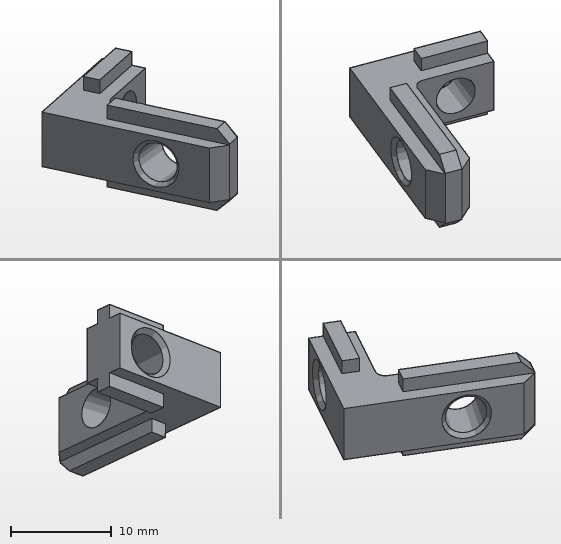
import cadquery as cq
import math

length_x = 20.0
length_y = 13.5
total_height = 9.0
body_height = 6.0
arm_width = 4.8
inner_radius = 1.0
end_chamfer = 1.5

rib_width = 1.8
rib_start_x = 6.48
rib_start_y = 6.3
rib_end_chamfer = 1.4

hole_radius = 2.1
hole_x = 12.6
hole_y = 9.38
tilted_rim_chamfer = 0.42
straight_rim_chamfer = 0.5
tilt_angle = 5.0
cut_margin = 1.0


def make_body():
    """L-shaped plate with a rounded inner corner and a bevelled long-arm end."""
    outline = (
        cq.Workplane("XY")
        .workplane(offset=-body_height / 2)
        .moveTo(0, 0)
        .lineTo(length_x - end_chamfer, 0)
        .lineTo(length_x, end_chamfer)
        .lineTo(length_x, arm_width - end_chamfer)
        .lineTo(length_x - end_chamfer, arm_width)
        .lineTo(arm_width + inner_radius, arm_width)
        .radiusArc((arm_width, arm_width + inner_radius), inner_radius)
        .lineTo(arm_width, length_y)
        .lineTo(0, length_y)
        .close()
    )
    return outline.extrude(body_height)


def make_rib(size_x, size_y, corner_x, corner_y):
    """Bar through the full height, so that it stands out above and below the body."""
    return (
        cq.Workplane("XY")
        .box(size_x, size_y, total_height, centered=(False, False, True))
        .translate((corner_x, corner_y, 0))
    )


def cut_hole(part, mouth, direction, face, chamfer):
    """Cut a through hole that starts at the mouth, then chamfer its rim on that outer face."""
    axis = cq.Vector(*direction)
    start = cq.Vector(*mouth) - axis * cut_margin
    drill = cq.Solid.makeCylinder(hole_radius, arm_width + 3 * cut_margin, start, axis)
    return part.cut(cq.Workplane(drill)).faces(face).edges("%ELLIPSE or %CIRCLE").chamfer(chamfer)


rib_offset = (arm_width - rib_width) / 2
long_rib = make_rib(length_x - rib_start_x, rib_width, rib_start_x, rib_offset)
long_rib = long_rib.faces(">X").edges("|Y").chamfer(rib_end_chamfer)
short_rib = make_rib(rib_width, length_y - rib_start_y, rib_offset, rib_start_y)

tilt = math.radians(tilt_angle)
tilted_direction = (math.sin(tilt), math.cos(tilt), 0)

result = make_body().union(long_rib).union(short_rib)
result = cut_hole(result, (hole_x, 0, 0), tilted_direction, "<Y", tilted_rim_chamfer)
result = cut_hole(result, (0, hole_y, 0), (1, 0, 0), "<X", straight_rim_chamfer)